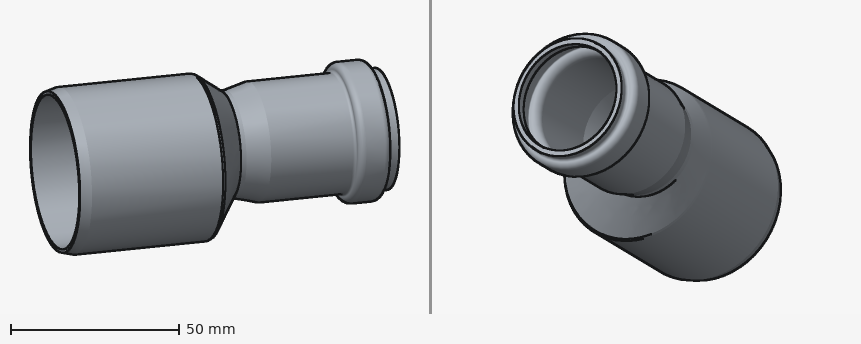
import cadquery as cq

length = 104.5

spigot_radius = 50.2 / 2
spigot_bore_radius = 46.2 / 2
spigot_end = 44.3
lead_in_length = 3.5
lead_in_depth = 0.9

neck_radius = 32.5 / 2
neck_bore_radius = 28.5 / 2
neck_start = 55.7
neck_end = 57.5
socket_x = -8.9

shoulder_length = 0.9
shoulder_inset = 0.3

socket_wall = 1.8
socket_radius = 36.3 / 2
lip_radius = 36.6 / 2
bead_radius = 42.4 / 2
socket_start = 64.6
bead_root_start = 90.2
bead_root_end = 102.2
root_fillet = 0.9

DIAGONAL = 0.5 ** 0.5


def arc_point(center_r, center_y, radius, side_r, side_y):
    """Middle of a quarter arc, on the given radial and axial side of its centre."""
    return (center_r + side_r * radius * DIAGONAL, center_y + side_y * radius * DIAGONAL)


def socket_body(neck_r, wall):
    """Neck, flare, socket and bead revolved; wall is the inward offset of the socket profile."""
    pipe_r = socket_radius - wall
    lip_r = lip_radius - wall
    bead_r = bead_radius - wall
    root_r = root_fillet + wall
    low_center_r = pipe_r + root_r
    high_center_r = lip_r + root_r
    low_round = bead_r - low_center_r
    high_round = bead_r - high_center_r
    low_face = bead_root_start + root_r
    high_face = bead_root_end - root_r
    low_round_y = low_face + low_round
    high_round_y = high_face - high_round
    profile = (
        cq.Workplane("XY")
        .moveTo(0, neck_start)
        .lineTo(neck_r, neck_start)
        .lineTo(neck_r, neck_end)
        .lineTo(pipe_r, socket_start)
        .lineTo(pipe_r, bead_root_start)
        .threePointArc(arc_point(low_center_r, bead_root_start, root_r, -1, 1), (low_center_r, low_face))
        .threePointArc(arc_point(low_center_r, low_round_y, low_round, 1, -1), (bead_r, low_round_y))
        .lineTo(bead_r, high_round_y)
        .threePointArc(arc_point(high_center_r, high_round_y, high_round, 1, 1), (high_center_r, high_face))
        .threePointArc(arc_point(high_center_r, bead_root_end, root_r, -1, -1), (lip_r, bead_root_end))
        .lineTo(lip_r, length)
        .lineTo(0, length)
        .close()
    )
    return profile.revolve(360, (0, 0, 0), (0, 1, 0)).translate((socket_x, 0, 0))


def ring(radius, center_x, y):
    """Circle around an axis parallel to Y."""
    edge = cq.Edge.makeCircle(radius, cq.Vector(center_x, y, 0), cq.Vector(0, 1, 0))
    return cq.Wire.assembleEdges([edge])


def spigot_body(radius, neck_r):
    """Spigot, short shoulder and offset cone down to the neck."""
    shoulder_radius = radius - shoulder_inset
    sections = [
        ring(radius, 0, 0),
        ring(radius, 0, spigot_end),
        ring(shoulder_radius, -shoulder_inset, spigot_end + shoulder_length),
        ring(neck_r, socket_x, neck_start),
    ]
    return cq.Workplane(cq.Solid.makeLoft(sections, True))


def lead_in(body):
    """Long shallow chamfer around the spigot's open end."""
    cone = cq.Solid.makeCone(
        spigot_radius - lead_in_depth,
        spigot_radius,
        lead_in_length,
        cq.Vector(0, 0, 0),
        cq.Vector(0, 1, 0),
    )
    blank = cq.Solid.makeCylinder(spigot_radius, lead_in_length, cq.Vector(0, 0, 0), cq.Vector(0, 1, 0))
    return body.cut(cq.Workplane(blank.cut(cone)))


outside = lead_in(spigot_body(spigot_radius, neck_radius)).union(socket_body(neck_radius, 0))
inside = spigot_body(spigot_bore_radius, neck_bore_radius).union(socket_body(neck_bore_radius, socket_wall))
result = outside.cut(inside)